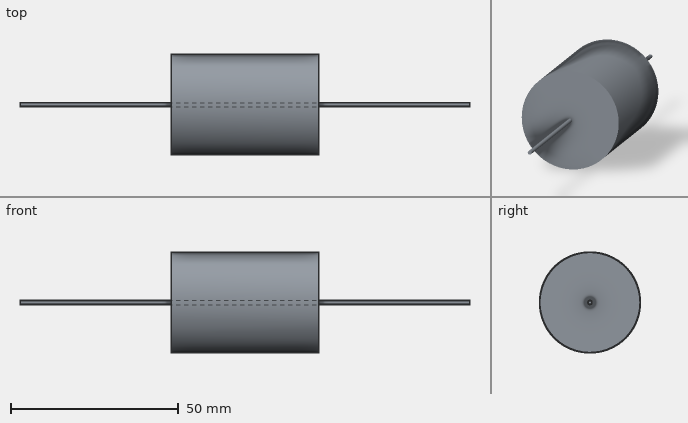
import cadquery as cq

wire_length = 134.0
wire_diameter = 1.2
can_length = 44.0
can_diameter = 30.0


def centred_rod(diameter, length):
    """Round rod along X, centred on the origin."""
    start = cq.Workplane("YZ").workplane(offset=-length / 2)
    return start.circle(diameter / 2).extrude(length)


def make_wire():
    return centred_rod(wire_diameter, wire_length)


def make_can():
    """Plain cylinder with a through bore that fits the wire."""
    can = centred_rod(can_diameter, can_length)
    return can.cut(centred_rod(wire_diameter, can_length))


can = make_can()
wire = make_wire()

result = cq.Compound.makeCompound([can.val(), wire.val()])